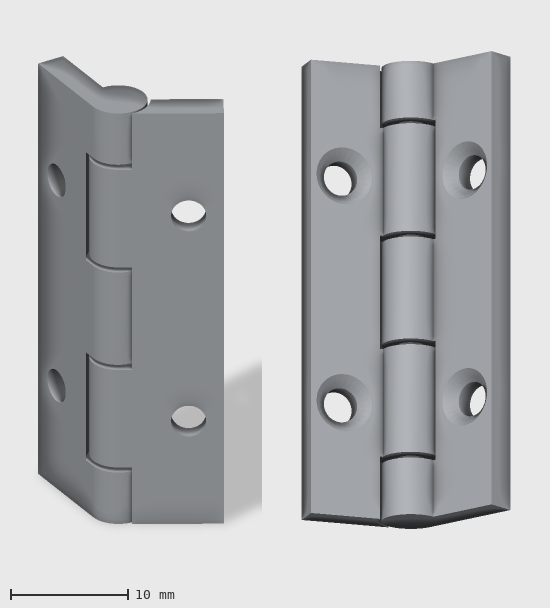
import cadquery as cq

height = 40.0
leaf_reach = 9.0
knuckle_radius = 2.5
leaf_thickness = knuckle_radius
leaf_turn = 58.8
relief_radius = 2.75
pin_radius = 1.25

knuckle_gap = 0.5
end_knuckle_length = 5.0
middle_knuckle_length = 9.0
slot_length = (height - 2 * end_knuckle_length - middle_knuckle_length) / 2
slot_starts = [end_knuckle_length, height - end_knuckle_length - slot_length]

fixed_knuckles = [
    (0, end_knuckle_length),
    ((height - middle_knuckle_length) / 2, (height + middle_knuckle_length) / 2),
    (height - end_knuckle_length, height),
]
swung_knuckles = [
    (start + knuckle_gap, start + slot_length - knuckle_gap) for start in slot_starts
]

hole_diameter = 3.0
countersink_diameter = 5.0
countersink_angle = 90
hole_edge_distance = 3.0
hole_heights = [height / 4, height * 3 / 4]


def axial_cylinder(radius, bottom, top):
    """Cylinder on the hinge axis between two heights."""
    return cq.Workplane("XY", origin=(0, 0, bottom)).circle(radius).extrude(top - bottom)


def knuckled_plate(knuckles):
    """Plate toward -X with its inner face at y = 0, carrying the given knuckles."""
    plate = cq.Workplane("XY").box(leaf_reach, leaf_thickness, height, centered=False)
    plate = plate.translate((-leaf_reach, -leaf_thickness, 0))

    relief = axial_cylinder(relief_radius, 0, height)
    for bottom, top in knuckles:
        relief = relief.cut(axial_cylinder(relief_radius, bottom, top))
    plate = plate.cut(relief)

    for bottom, top in knuckles:
        plate = plate.union(axial_cylinder(knuckle_radius, bottom, top))
    return plate


def drill_screw_holes(plate):
    """Screw holes through the plate, countersunk from the inner face."""
    hole_x = hole_edge_distance - leaf_reach
    inner_face = cq.Plane(origin=(0, 0, 0), xDir=(-1, 0, 0), normal=(0, 1, 0))
    centers = [(-hole_x, z) for z in hole_heights]
    return (
        plate.copyWorkplane(cq.Workplane(inner_face))
        .pushPoints(centers)
        .cskHole(hole_diameter, countersink_diameter, countersink_angle, leaf_thickness)
    )


def make_fixed_leaf():
    """Leaf with three knuckles and the pin that joins them."""
    leaf = drill_screw_holes(knuckled_plate(fixed_knuckles))
    return leaf.union(axial_cylinder(pin_radius, 0, height))


def make_swung_leaf():
    """Leaf with two bored knuckles, mirrored to +X and swung about the hinge axis."""
    leaf = drill_screw_holes(knuckled_plate(swung_knuckles))
    leaf = leaf.cut(axial_cylinder(pin_radius, 0, height))
    return leaf.mirror("YZ").rotate((0, 0, 0), (0, 0, 1), leaf_turn)


fixed_leaf = make_fixed_leaf()
swung_leaf = make_swung_leaf()

result = cq.Compound.makeCompound([fixed_leaf.solids().val(), swung_leaf.solids().val()])